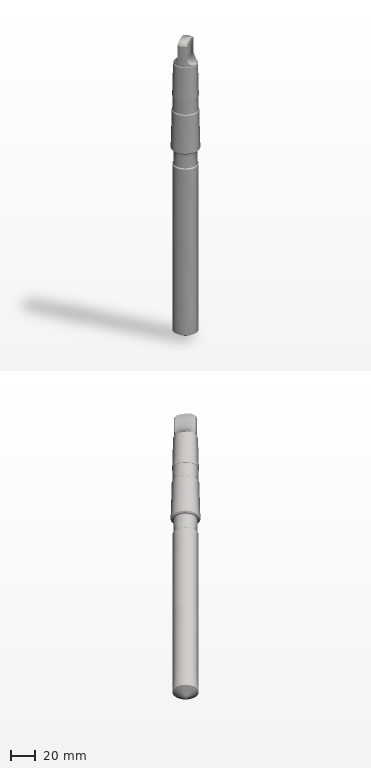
import cadquery as cq
import math

TOTAL_LENGTH = 273.0
CUTTING_LENGTH = 84.6
BODY_TOP = 159.2
TAPER_BOTTOM = 172.5
GROOVE_BOTTOM = 208.0
GROOVE_TOP = 221.5
TAPER_TOP = 251.2

DRILL_DIAMETER = 21.3
NECK_DIAMETER = 19.7
TAPER_LARGE_DIAMETER = 24.0
TAPER_RATIO = 19.9
GROOVE_DIAMETER = 21.0

POINT_ANGLE = 118.0
TAPER_END_CHAMFER = 1.0
GROOVE_CHAMFER = 0.5

TANG_DIAMETER = 18.5
TANG_THICKNESS = 8.0
TANG_ANGLE = 17.0
TANG_FLAT_LENGTH = 14.5
TANG_RUNOUT_RADIUS = 7.0
TANG_CROWN_RISE = 1.0
TANG_CHAMFER_WIDTH = 1.6
TANG_CHAMFER_HEIGHT = 1.6

drill_radius = DRILL_DIAMETER / 2
neck_radius = NECK_DIAMETER / 2
groove_radius = GROOVE_DIAMETER / 2
tang_radius = TANG_DIAMETER / 2
taper_start = TAPER_BOTTOM + TAPER_END_CHAMFER
body_chamfer = drill_radius - neck_radius


def taper_radius(z):
    """Radius of the tapered shank at height z."""
    return (TAPER_LARGE_DIAMETER - (z - taper_start) / TAPER_RATIO) / 2


def make_cutting_section():
    """Plain cylindrical cutting end with its conical point."""
    point_height = drill_radius / math.tan(math.radians(POINT_ANGLE / 2))
    return (
        cq.Workplane("XZ")
        .lineTo(drill_radius, point_height)
        .lineTo(drill_radius, CUTTING_LENGTH)
        .lineTo(0, CUTTING_LENGTH)
        .close()
        .revolve(360, (0, 0, 0), (0, 1, 0))
    )


def make_turned_shank():
    """Body, neck, grooved taper and round tang blank as one turned shape."""
    crown_edge_radius = tang_radius - TANG_CHAMFER_WIDTH
    crown_edge_z = TOTAL_LENGTH - TANG_CROWN_RISE
    crown_radius = (crown_edge_radius**2 + TANG_CROWN_RISE**2) / (2 * TANG_CROWN_RISE)
    crown_mid_radius = crown_edge_radius / 2
    crown_mid_z = TOTAL_LENGTH - crown_radius + math.sqrt(crown_radius**2 - crown_mid_radius**2)
    return (
        cq.Workplane("XZ")
        .moveTo(0, CUTTING_LENGTH)
        .lineTo(drill_radius, CUTTING_LENGTH)
        .lineTo(drill_radius, BODY_TOP - body_chamfer)
        .lineTo(neck_radius, BODY_TOP)
        .lineTo(neck_radius, TAPER_BOTTOM)
        .lineTo(TAPER_LARGE_DIAMETER / 2 - TAPER_END_CHAMFER, TAPER_BOTTOM)
        .lineTo(TAPER_LARGE_DIAMETER / 2, taper_start)
        .lineTo(taper_radius(GROOVE_BOTTOM), GROOVE_BOTTOM)
        .lineTo(groove_radius, GROOVE_BOTTOM + GROOVE_CHAMFER)
        .lineTo(groove_radius, GROOVE_TOP)
        .lineTo(taper_radius(GROOVE_TOP), GROOVE_TOP)
        .lineTo(taper_radius(TAPER_TOP), TAPER_TOP)
        .lineTo(tang_radius, TAPER_TOP)
        .lineTo(tang_radius, crown_edge_z - TANG_CHAMFER_HEIGHT)
        .lineTo(crown_edge_radius, crown_edge_z)
        .threePointArc((crown_mid_radius, crown_mid_z), (0, TOTAL_LENGTH))
        .close()
        .revolve(360, (0, 0, 0), (0, 1, 0))
    )


def make_tang_cutter(side):
    """Cutter for one tang flat, running out through a concave quarter round.

    side is +1 or -1 and selects the flat along the tang's thickness.
    """
    flat_x = TANG_THICKNESS / 2
    flat_end_z = TOTAL_LENGTH - TANG_FLAT_LENGTH
    arc_centre_x = flat_x + TANG_RUNOUT_RADIUS
    arc_offset = TANG_RUNOUT_RADIUS * math.sqrt(0.5)
    return (
        cq.Workplane("XZ")
        .moveTo(side * flat_x, TOTAL_LENGTH)
        .lineTo(side * flat_x, flat_end_z)
        .threePointArc(
            (side * (arc_centre_x - arc_offset), flat_end_z - arc_offset),
            (side * arc_centre_x, flat_end_z - TANG_RUNOUT_RADIUS),
        )
        .lineTo(side * arc_centre_x, TOTAL_LENGTH)
        .close()
        .extrude(drill_radius, both=True)
        .rotate((0, 0, 0), (0, 0, 1), TANG_ANGLE)
    )


def make_shank():
    """Complete shank with the two tang flats cut."""
    shank = make_turned_shank()
    for side in (-1, 1):
        shank = shank.cut(make_tang_cutter(side))
    return shank


cutting_section = make_cutting_section()
shank = make_shank()

result = cq.Compound.makeCompound([cutting_section.val(), shank.val()])